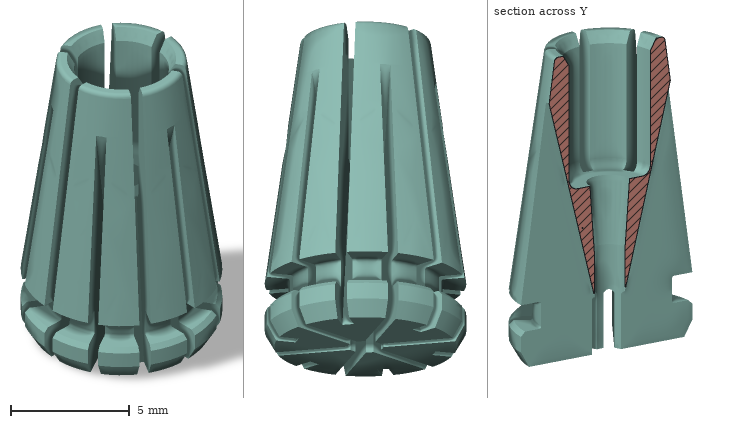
import cadquery as cq
import math

length = 13.6
max_radius = 4.25
taper_angle = 8.0

flange_height = 1.6
flange_top_chamfer = 0.2
flange_bevel_height = 0.7
flange_bevel_angle = 30.0
groove_width = 1.2
groove_radius = 3.25
groove_fillet = 0.1

nose_fillet = 0.2

hole_radius = 0.75
hole_top_radius = 0.97
hole_taper_depth = 3.0
pocket_radius = 2.0
pocket_floor_z = 7.6
pocket_fillet = 0.4
mouth_radius = 2.3
mouth_depth = 0.5

slot_count = 6
slot_pitch = 360.0 / slot_count
nose_slot_width = 0.5
nose_slot_start_angle = 30.0
nose_slot_floor_radius = 3.0
nose_slot_inner_radius = 1.67
flange_slot_width = 0.45
flange_slot_top_z = 11.6
flange_slot_breakthrough_z = 2.6

taper_slope = math.tan(math.radians(taper_angle))
taper_start_z = flange_height + groove_width
clearance = 1.0


def taper_radius(z):
    return max_radius - (z - taper_start_z) * taper_slope


def make_body():
    """Revolved flange, groove and taper, with rounded groove corners and nose."""
    bevel = flange_bevel_height * math.tan(math.radians(flange_bevel_angle))
    body = (
        cq.Workplane("XZ")
        .moveTo(0, 0)
        .lineTo(max_radius - bevel, 0)
        .lineTo(max_radius, flange_bevel_height)
        .lineTo(max_radius, flange_height - flange_top_chamfer)
        .lineTo(max_radius - flange_top_chamfer, flange_height)
        .lineTo(groove_radius, flange_height)
        .lineTo(groove_radius, taper_start_z)
        .lineTo(max_radius, taper_start_z)
        .lineTo(taper_radius(length), length)
        .lineTo(0, length)
        .close()
        .revolve(360, (0, 0), (0, 1))
    )
    body = body.edges(">Z").fillet(nose_fillet)
    groove_zone = cq.selectors.BoxSelector(
        (-groove_radius - clearance, -groove_radius - clearance, flange_height - groove_fillet),
        (groove_radius + clearance, groove_radius + clearance, taper_start_z + groove_fillet),
    )
    groove_corners = body.edges(groove_zone).edges(cq.selectors.RadiusNthSelector(0))
    return groove_corners.fillet(groove_fillet)


def make_bore():
    """Revolved cutter: flared through hole, round-cornered pocket and chamfered mouth."""
    diagonal = pocket_fillet * math.sqrt(0.5)
    fillet_centre_radius = pocket_radius - pocket_fillet
    fillet_centre_z = pocket_floor_z + pocket_fillet
    return (
        cq.Workplane("XZ")
        .moveTo(0, 0)
        .lineTo(hole_radius, 0)
        .lineTo(hole_radius, pocket_floor_z - hole_taper_depth)
        .lineTo(hole_top_radius, pocket_floor_z)
        .lineTo(fillet_centre_radius, pocket_floor_z)
        .threePointArc(
            (fillet_centre_radius + diagonal, fillet_centre_z - diagonal),
            (pocket_radius, fillet_centre_z),
        )
        .lineTo(pocket_radius, length - mouth_depth)
        .lineTo(mouth_radius, length)
        .lineTo(0, length)
        .close()
        .revolve(360, (0, 0), (0, 1))
    )


def slot_cutter(profile, width, angle):
    """Slot of the given width whose radial profile lies in the plane at this angle."""
    cutter = cq.Workplane("XZ").polyline(profile).close().extrude(width / 2, both=True)
    return cutter.rotate((0, 0, 0), (0, 0, 1), angle)


def nose_slot_profile():
    """Floor leans outward going down, from the pocket floor to the flange face."""
    slope = (nose_slot_floor_radius - nose_slot_inner_radius) / pocket_floor_z
    outside = max_radius + clearance
    top = length + clearance
    return [
        (nose_slot_floor_radius + slope * clearance, -clearance),
        (outside, -clearance),
        (outside, top),
        (nose_slot_floor_radius - slope * top, top),
    ]


def flange_slot_profile():
    """Floor leans inward going down, from the taper surface to the through hole."""
    top_radius = taper_radius(flange_slot_top_z)
    slope = (top_radius - hole_radius) / (flange_slot_top_z - flange_slot_breakthrough_z)
    outside = max_radius + clearance
    floor_axis_z = flange_slot_breakthrough_z - hole_radius / slope
    return [
        (0, -clearance),
        (outside, -clearance),
        (outside, flange_slot_top_z),
        (top_radius, flange_slot_top_z),
        (0, floor_axis_z),
    ]


result = make_body().cut(make_bore())
for i in range(slot_count):
    flange_slot_angle = i * slot_pitch
    nose_slot_angle = flange_slot_angle + nose_slot_start_angle
    result = result.cut(slot_cutter(nose_slot_profile(), nose_slot_width, nose_slot_angle))
    result = result.cut(slot_cutter(flange_slot_profile(), flange_slot_width, flange_slot_angle))